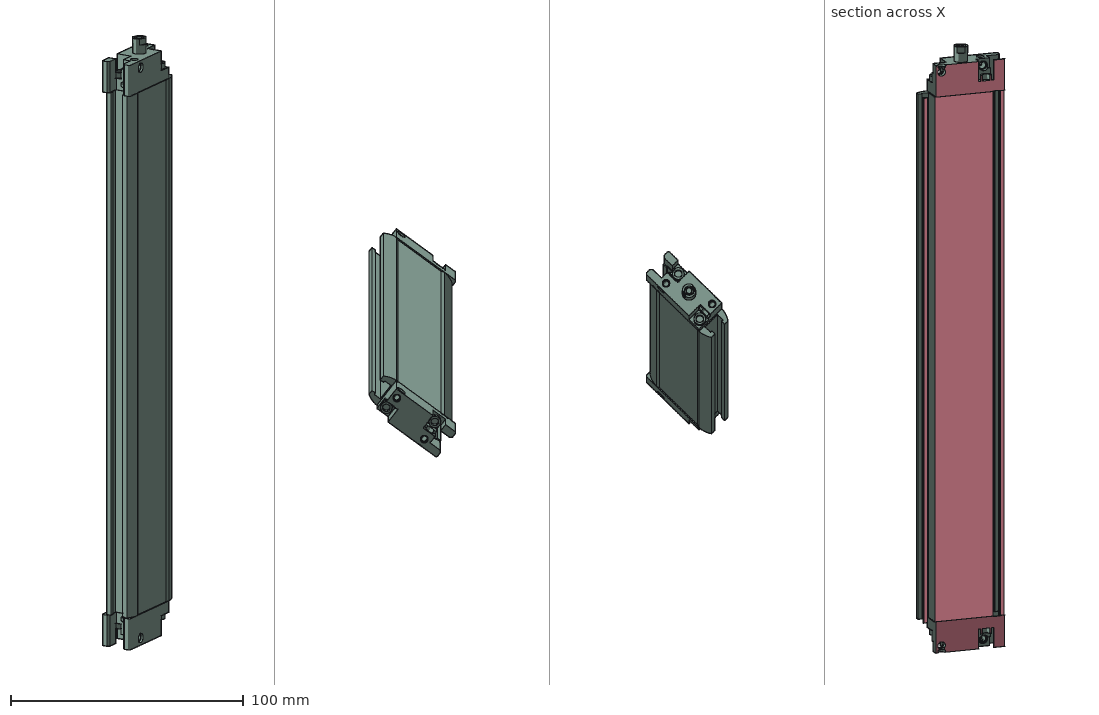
import cadquery as cq
import math

TOTAL_LENGTH = 269.0
WIDTH = 14.0
CAP_BACK_Y = 13.0
CAP_FRONT_Y = -19.5
PROFILE_HALF_DEPTH = 18.5
CONNECTOR_HEIGHT = 6.7
CAP_HEIGHT = 14.0

HALF_WIDTH = WIDTH / 2
CAP_TOP_Z = TOTAL_LENGTH - CONNECTOR_HEIGHT
PROFILE_LENGTH = CAP_TOP_Z - 2 * CAP_HEIGHT

SHOULDER_Y = 13.0
SHOULDER_TIP_X = 5.0
SHOULDER_MID_X = 6.5
SLOT_MOUTH_X = 3.0
SLOT_INNER_X = 3.8
SLOT_FLOOR_Y = 13.5
SLOT_LIP_Y = 16.7
RECESS_DEPTH = 0.5
RECESS_SLOPE = 1.3

JAW_MOUTH_X = 3.5
JAW_FILLET = 0.8
JAW_CHAMFER = 0.8
JAW_SLOT_FLOOR_Y = -13.2

SCREW_X = 3.8
SCREW_Y = 10.2
CROSS_HOLE_DIAMETER = 3.2
CROSS_HOLE_Z = 3.2
END_HOLE_DIAMETER = 2.45
END_HOLE_DEPTH = CROSS_HOLE_Z
COUNTERBORE_DEPTH = 1.0
CROSS_COUNTERBORE_DIAMETER = 4.0
END_COUNTERBORE_DIAMETER = 3.2
POCKET_WIDTH = 6.7
POCKET_UPPER_DEPTH = 4.3
POCKET_LOWER_X = 1.0
POCKET_DEPTH = 9.0
BOSS_DIAMETER = 5.0
BOSS_HEIGHT = 2.5
BOSS_HOLE_DIAMETER = 3.2
SLOT_HOLE_DIAMETER = 2.45
SLOT_HOLE_Z = 11.3
SLOT_HOLE_DEPTH = 2.7

CONNECTOR_DIAMETER = 6.0
CONNECTOR_BORE_DIAMETER = 4.0
CONNECTOR_CORE_DIAMETER = 2.45
CONNECTOR_BORE_DEPTH = 3.2
FLAT_DISTANCE = 2.5
FLAT_HEIGHT = 2.7
FLAT_ANGLE = 160.0


def make_profile():
    """Extrusion between the two end caps."""
    shoulder_mid_y = (SHOULDER_Y + PROFILE_HALF_DEPTH) / 2
    section = (
        cq.Workplane("XY", origin=(0, 0, CAP_HEIGHT))
        .moveTo(-HALF_WIDTH, -SHOULDER_Y)
        .lineTo(-HALF_WIDTH, SHOULDER_Y)
        .threePointArc((-SHOULDER_MID_X, shoulder_mid_y), (-SHOULDER_TIP_X, PROFILE_HALF_DEPTH))
        .lineTo(SHOULDER_TIP_X, PROFILE_HALF_DEPTH)
        .threePointArc((SHOULDER_MID_X, shoulder_mid_y), (HALF_WIDTH, SHOULDER_Y))
        .lineTo(HALF_WIDTH, -SHOULDER_Y)
        .threePointArc((SHOULDER_MID_X, -shoulder_mid_y), (SHOULDER_TIP_X, -PROFILE_HALF_DEPTH))
        .lineTo(-SHOULDER_TIP_X, -PROFILE_HALF_DEPTH)
        .threePointArc((-SHOULDER_MID_X, -shoulder_mid_y), (-HALF_WIDTH, -SHOULDER_Y))
        .close()
    )
    body = section.extrude(PROFILE_LENGTH)
    for side in (-1, 1):
        body = body.cut(t_slot(side)).cut(side_recess(side))
    return body


def t_slot(side):
    """Undercut slot in the +Y (side = 1) or -Y (side = -1) end of the profile."""
    return (
        cq.Workplane("XY", origin=(0, 0, CAP_HEIGHT))
        .polyline([
            (-SLOT_INNER_X, side * SLOT_FLOOR_Y),
            (SLOT_INNER_X, side * SLOT_FLOOR_Y),
            (SLOT_INNER_X, side * SLOT_LIP_Y),
            (SLOT_MOUTH_X, side * SLOT_LIP_Y),
            (SLOT_MOUTH_X, side * PROFILE_HALF_DEPTH),
            (-SLOT_MOUTH_X, side * PROFILE_HALF_DEPTH),
            (-SLOT_MOUTH_X, side * SLOT_LIP_Y),
            (-SLOT_INNER_X, side * SLOT_LIP_Y),
        ])
        .close()
        .extrude(PROFILE_LENGTH)
    )


def side_recess(side):
    """Shallow recess with slanted walls along the +X (side = 1) or -X (side = -1) face."""
    floor_x = side * (HALF_WIDTH - RECESS_DEPTH)
    floor_y = SHOULDER_Y - RECESS_SLOPE
    return (
        cq.Workplane("XY", origin=(0, 0, CAP_HEIGHT))
        .polyline([
            (side * HALF_WIDTH, -SHOULDER_Y),
            (side * HALF_WIDTH, SHOULDER_Y),
            (floor_x, floor_y),
            (floor_x, -floor_y),
        ])
        .close()
        .extrude(PROFILE_LENGTH)
    )


def vertical_hole(x, y, diameter, depth):
    """Cylinder going down from the outer face of the upper cap."""
    return (
        cq.Workplane("XY", origin=(x, y, CAP_TOP_Z))
        .circle(diameter / 2)
        .extrude(-depth)
    )


def cap_blank():
    """Upper cap outline with its two jaws."""
    right_half = [
        (HALF_WIDTH, CAP_BACK_Y),
        (HALF_WIDTH, CAP_FRONT_Y),
        (JAW_MOUTH_X + JAW_CHAMFER, CAP_FRONT_Y),
        (JAW_MOUTH_X, CAP_FRONT_Y + JAW_CHAMFER),
        (JAW_MOUTH_X, JAW_SLOT_FLOOR_Y),
    ]
    left_half = [(-x, y) for x, y in reversed(right_half)]
    blank = (
        cq.Workplane("XY", origin=(0, 0, CAP_TOP_Z))
        .polyline(right_half + left_half)
        .close()
        .extrude(-CAP_HEIGHT)
    )
    for side_face in ("<X", ">X"):
        blank = blank.faces(side_face).edges("|Z and <Y").fillet(JAW_FILLET)
    return blank


def pocket_box(side, wall_x, depth):
    """Box from the side face of the cap to an inner wall at wall_x."""
    outer_x = side * HALF_WIDTH
    return (
        cq.Workplane("XY", origin=((outer_x + wall_x) / 2, side * SCREW_Y, CAP_TOP_Z))
        .rect(abs(outer_x - wall_x), POCKET_WIDTH)
        .extrude(-depth)
    )


def screw_pocket(side):
    """Stepped pocket around a hollow boss, at the (+X, +Y) corner for side = 1 or (-X, -Y) for side = -1."""
    upper = pocket_box(side, 0, POCKET_UPPER_DEPTH)
    lower = pocket_box(side, side * POCKET_LOWER_X, POCKET_DEPTH)
    boss = (
        cq.Workplane("XY", origin=(side * SCREW_X, side * SCREW_Y, CAP_TOP_Z - POCKET_DEPTH))
        .circle(BOSS_DIAMETER / 2)
        .circle(BOSS_HOLE_DIAMETER / 2)
        .extrude(BOSS_HEIGHT)
    )
    return upper.union(lower).cut(boss)


def cross_hole(side):
    """Through hole along X, counterbored from the plain side face and from the pocket wall."""
    y = side * SCREW_Y
    z = CAP_TOP_Z - CROSS_HOLE_Z
    hole = (
        cq.Workplane("YZ", origin=(0, y, z))
        .circle(CROSS_HOLE_DIAMETER / 2)
        .extrude(HALF_WIDTH, both=True)
    )
    plain_counterbore = (
        cq.Workplane("YZ", origin=(-side * HALF_WIDTH, y, z))
        .circle(CROSS_COUNTERBORE_DIAMETER / 2)
        .extrude(side * COUNTERBORE_DEPTH)
    )
    pocket_counterbore = (
        cq.Workplane("YZ", origin=(-side * COUNTERBORE_DEPTH, y, z))
        .circle(CROSS_COUNTERBORE_DIAMETER / 2)
        .extrude(side * (COUNTERBORE_DEPTH + POCKET_LOWER_X))
    )
    return hole.union(plain_counterbore).union(pocket_counterbore)


def end_hole(side):
    """Counterbored hole from the end face into the cross hole on the same side in Y."""
    x = -side * SCREW_X
    y = side * SCREW_Y
    counterbore = vertical_hole(x, y, END_COUNTERBORE_DIAMETER, COUNTERBORE_DEPTH)
    return vertical_hole(x, y, END_HOLE_DIAMETER, END_HOLE_DEPTH).union(counterbore)


def slot_hole():
    """Small blind hole in the floor of the jaw slot."""
    return (
        cq.Workplane("XZ", origin=(0, JAW_SLOT_FLOOR_Y, CAP_TOP_Z - SLOT_HOLE_Z))
        .circle(SLOT_HOLE_DIAMETER / 2)
        .extrude(-SLOT_HOLE_DEPTH)
    )


def make_upper_cap():
    """End cap at the top of the profile."""
    cap = cap_blank().cut(slot_hole())
    for side in (-1, 1):
        cap = cap.cut(screw_pocket(side)).cut(cross_hole(side)).cut(end_hole(side))
    return cap


def make_lower_cap():
    """Mirror image of the upper cap about the middle of the profile."""
    return make_upper_cap().mirror("XY", (0, 0, CAP_TOP_Z / 2))


def make_connector():
    """Round connector on the upper cap, with a ring groove in its end and two opposite flats at its rim."""
    body = (
        cq.Workplane("XY", origin=(0, 0, CAP_TOP_Z))
        .circle(CONNECTOR_DIAMETER / 2)
        .extrude(CONNECTOR_HEIGHT)
    )
    bore = (
        cq.Workplane("XY", origin=(0, 0, TOTAL_LENGTH))
        .circle(CONNECTOR_BORE_DIAMETER / 2)
        .circle(CONNECTOR_CORE_DIAMETER / 2)
        .extrude(-CONNECTOR_BORE_DEPTH)
    )
    body = body.cut(bore)
    flat_middle = FLAT_DISTANCE + CONNECTOR_DIAMETER / 2
    for angle in (FLAT_ANGLE, FLAT_ANGLE + 180):
        direction = math.radians(angle)
        flat = (
            cq.Workplane("XY")
            .box(CONNECTOR_DIAMETER, CONNECTOR_DIAMETER, FLAT_HEIGHT, centered=(True, True, False))
            .rotate((0, 0, 0), (0, 0, 1), angle)
            .translate((
                flat_middle * math.cos(direction),
                flat_middle * math.sin(direction),
                TOTAL_LENGTH - FLAT_HEIGHT,
            ))
        )
        body = body.cut(flat)
    return body


profile = make_profile()
upper_cap = make_upper_cap()
lower_cap = make_lower_cap()
connector = make_connector()

result = cq.Compound.makeCompound([
    profile.val(),
    upper_cap.val(),
    lower_cap.val(),
    connector.val(),
])